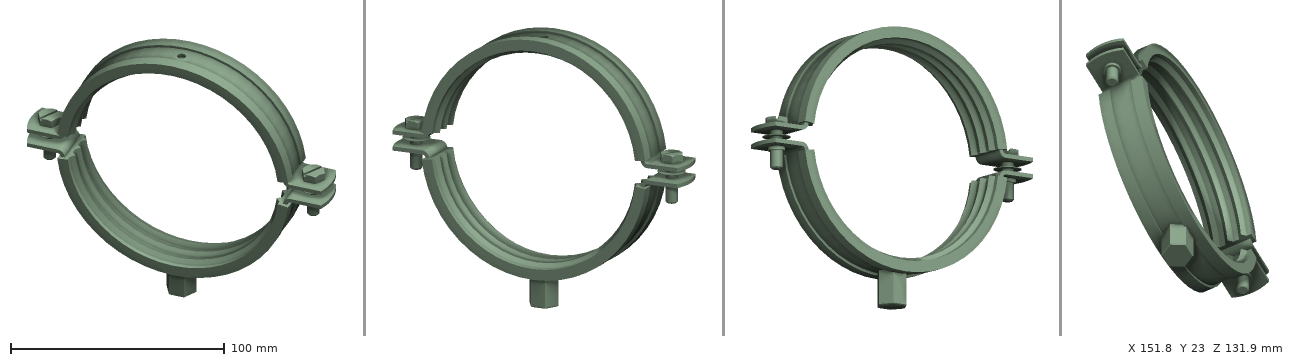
import cadquery as cq
import math

total_length = 151.8
liner_width = 23.0
liner_outer_radius = 58.4
liner_inner_radius = 53.1
liner_end_angle = 6.7
lip_gap = 11.2
rib_height = 2.1
rib_pitch = 7.1
rib_count = 3

strap_width = 19.7
strap_thickness = 2.0
strap_outer_radius = 57.2
ear_gap = 5.9
bend_radius = 1.7
ear_crown = 2.0
vent_diameter = 4.2

bolt_x = 66.3
shaft_diameter = 5.9
bolt_end_z = -15.3
bolt_end_chamfer = 0.8
head_flats = 10.0
head_height = 4.1
head_chamfer_height = 0.5
slot_width = 1.4
slot_depth = 1.2
slot_angle = 60.0
collar_diameter = 8.2
collar_height = 1.7

washer_diameter = 13.2
washer_thickness = 0.3

nut_flats = 13.0
nut_bottom_z = -73.5
nut_chamfer = 0.5

strap_inner_radius = strap_outer_radius - strap_thickness
ear_inner_z = ear_gap / 2
ear_outer_z = ear_inner_z + strap_thickness
ear_tip_x = total_length / 2
ear_corner_x = ear_tip_x - ear_crown
bend_z = ear_outer_z + bend_radius
bend_angle = math.asin(bend_z / (strap_outer_radius + bend_radius))
bend_x = (strap_outer_radius + bend_radius) * math.cos(bend_angle)
outer_bend_radius = bend_radius + strap_thickness


def corners_of(flats):
    """Width across the corners of a hexagon with the given width across flats."""
    return flats / math.cos(math.radians(30))


def strap_point(radius, angle):
    """Point in the XZ plane at an angle (radians) above the +X axis."""
    return (radius * math.cos(angle), radius * math.sin(angle))


def bend_midpoint(radius):
    """Middle of the bend arc that joins the strap to the right-hand ear."""
    middle = 0.5 * (bend_angle + math.pi + 1.5 * math.pi)
    return (bend_x + radius * math.cos(middle), bend_z + radius * math.sin(middle))


def mirrored(point):
    """XZ point reflected to the other side of the clamp."""
    return (-point[0], point[1])


def ear_outline():
    """Plan of the strap, rounded at both ear tips, as a tall cutter."""
    half_width = strap_width / 2
    return (
        cq.Workplane("XY")
        .moveTo(-ear_corner_x, -half_width)
        .lineTo(ear_corner_x, -half_width)
        .threePointArc((ear_tip_x, 0), (ear_corner_x, half_width))
        .lineTo(-ear_corner_x, half_width)
        .threePointArc((-ear_tip_x, 0), (-ear_corner_x, -half_width))
        .close()
        .extrude(liner_outer_radius)
    )


def strap_half():
    """Upper strap blank with bolt holes in both ears."""
    outer_end = strap_point(strap_outer_radius, bend_angle)
    inner_end = strap_point(strap_inner_radius, bend_angle)
    outer_bend = bend_midpoint(bend_radius)
    inner_bend = bend_midpoint(outer_bend_radius)
    blank = (
        cq.Workplane("XZ")
        .moveTo(ear_tip_x, ear_outer_z)
        .lineTo(bend_x, ear_outer_z)
        .threePointArc(outer_bend, outer_end)
        .threePointArc((0, strap_outer_radius), mirrored(outer_end))
        .threePointArc(mirrored(outer_bend), (-bend_x, ear_outer_z))
        .lineTo(-ear_tip_x, ear_outer_z)
        .lineTo(-ear_tip_x, ear_inner_z)
        .lineTo(-bend_x, ear_inner_z)
        .threePointArc(mirrored(inner_bend), mirrored(inner_end))
        .threePointArc((0, strap_inner_radius), inner_end)
        .threePointArc(inner_bend, (bend_x, ear_inner_z))
        .lineTo(ear_tip_x, ear_inner_z)
        .close()
        .extrude(strap_width / 2, both=True)
    )
    holes = (
        cq.Workplane("XY")
        .pushPoints([(-bolt_x, 0), (bolt_x, 0)])
        .circle(shaft_diameter / 2)
        .extrude(bend_z)
    )
    return blank.intersect(ear_outline()).cut(holes)


def upper_strap():
    """Strap half with a small vent hole at its crown."""
    vent = (
        cq.Workplane("XY")
        .circle(vent_diameter / 2)
        .extrude(liner_outer_radius)
    )
    return strap_half().cut(vent)


def lower_strap():
    """Mirrored strap half with a drawn collar under each ear."""
    collars = (
        cq.Workplane("XY")
        .workplane(offset=-ear_outer_z)
        .pushPoints([(-bolt_x, 0), (bolt_x, 0)])
        .circle(collar_diameter / 2)
        .circle(shaft_diameter / 2)
        .extrude(-collar_height)
    )
    return strap_half().mirror("XY").union(collars)


def lower_liner():
    """Lower half ring of the channel, swept about the Y axis between its two ends."""
    half_width = liner_width / 2
    half_strap = strap_width / 2
    half_gap = lip_gap / 2
    profile = cq.Workplane("XY").moveTo(liner_inner_radius, -half_width)
    for rib in range(rib_count):
        rib_y = (rib - (rib_count - 1) / 2) * rib_pitch
        profile = (
            profile
            .lineTo(liner_inner_radius, rib_y - rib_height)
            .lineTo(liner_inner_radius - rib_height, rib_y)
            .lineTo(liner_inner_radius, rib_y + rib_height)
        )
    profile = (
        profile
        .lineTo(liner_inner_radius, half_width)
        .lineTo(liner_outer_radius, half_width)
        .lineTo(liner_outer_radius, half_gap)
        .lineTo(strap_outer_radius, half_gap)
        .lineTo(strap_outer_radius, half_strap)
        .lineTo(strap_inner_radius, half_strap)
        .lineTo(strap_inner_radius, -half_strap)
        .lineTo(strap_outer_radius, -half_strap)
        .lineTo(strap_outer_radius, -half_gap)
        .lineTo(liner_outer_radius, -half_gap)
        .lineTo(liner_outer_radius, -half_width)
        .close()
    )
    sweep = 180 - 2 * liner_end_angle
    return (
        profile
        .revolve(sweep, (0, 0, 0), (0, 1, 0))
        .rotate((0, 0, 0), (0, 1, 0), liner_end_angle)
    )


def upper_liner():
    """Mirror image of the lower liner."""
    return lower_liner().mirror("XY")


def bolt_head():
    """Hexagonal head standing on Z = 0 with its top corners turned to a 30 degree cone."""
    corner_radius = corners_of(head_flats) / 2
    cone_inset = head_chamfer_height / math.tan(math.radians(30))
    envelope = (
        cq.Workplane("XZ")
        .lineTo(corner_radius, 0)
        .lineTo(corner_radius, head_height - head_chamfer_height)
        .lineTo(corner_radius - cone_inset, head_height)
        .lineTo(0, head_height)
        .close()
        .revolve(360, (0, 0, 0), (0, 1, 0))
    )
    slot = (
        cq.Workplane("XY")
        .box(2 * head_flats, slot_width, slot_depth, centered=(True, True, False))
        .rotate((0, 0, 0), (0, 0, 1), slot_angle)
        .translate((0, 0, head_height - slot_depth))
    )
    prism = cq.Workplane("XY").polygon(6, 2 * corner_radius).extrude(head_height)
    return prism.intersect(envelope).cut(slot)


def bolt(x):
    """Slotted hexagon bolt whose head rests on the upper ear."""
    head = bolt_head().translate((0, 0, ear_outer_z))
    shaft = (
        cq.Workplane("XY")
        .workplane(offset=bolt_end_z)
        .circle(shaft_diameter / 2)
        .extrude(ear_outer_z - bolt_end_z)
        .faces("<Z")
        .chamfer(bolt_end_chamfer)
    )
    return head.union(shaft).translate((x, 0, 0))


def washer(x):
    """Thin retaining disc on the bolt, midway between the ears."""
    return (
        cq.Workplane("XY")
        .circle(washer_diameter / 2)
        .circle(shaft_diameter / 2)
        .extrude(washer_thickness / 2, both=True)
        .translate((x, 0, 0))
    )


def nut():
    """Hexagon connection nut seated on the lower strap between and under the liner lips."""
    blank = (
        cq.Workplane("XY")
        .workplane(offset=nut_bottom_z)
        .polygon(6, corners_of(nut_flats))
        .extrude(-strap_inner_radius - nut_bottom_z)
        .faces("<Z")
        .chamfer(nut_chamfer)
    )
    strap_seat = (
        cq.Workplane("XZ")
        .circle(strap_outer_radius)
        .extrude(liner_width / 2, both=True)
    )
    lip_seat = (
        cq.Workplane("XZ")
        .circle(liner_outer_radius)
        .extrude(liner_width / 2, both=True)
        .cut(cq.Workplane("XY").box(total_length, lip_gap, total_length))
    )
    return blank.cut(strap_seat).cut(lip_seat)


bolts = []
washers = []
for side_x in (-bolt_x, bolt_x):
    bolts.append(bolt(side_x).val())
    washers.append(washer(side_x).val())

result = cq.Compound.makeCompound([
    upper_strap().val(),
    lower_strap().val(),
    upper_liner().val(),
    lower_liner().val(),
    *bolts,
    *washers,
    nut().val(),
])